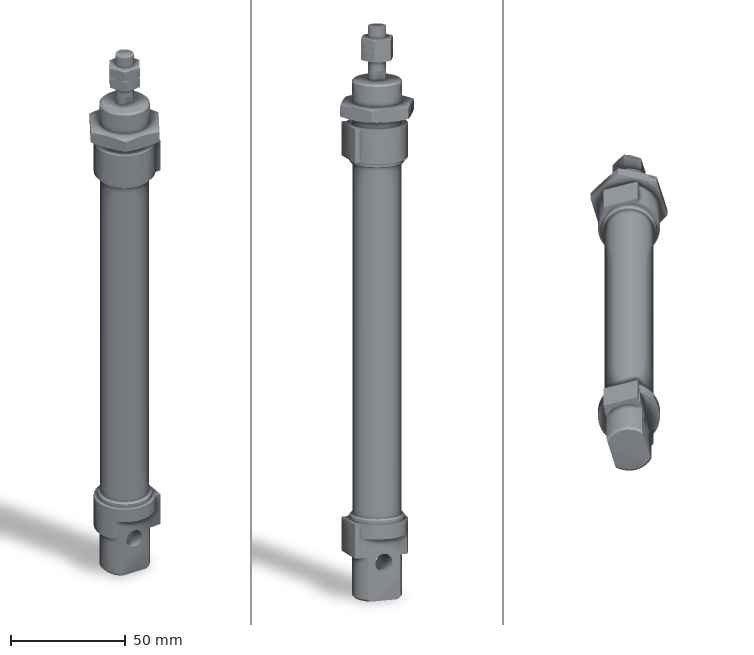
import cadquery as cq
import math


total_length = 257.0
rod_projection = 24.0
head_face_z = total_length - rod_projection

clevis_diameter = 22.0
clevis_width = 16.0
clevis_length = 20.0
clevis_end_diameter = 20.0
clevis_end_chamfer = (clevis_diameter - clevis_end_diameter) / 2
clevis_flat_top_z = 29.0
pin_hole_diameter = 8.0
pin_hole_z = 17.0

cover_diameter = 27.0
cover_length = 15.3
pad_width = 15.5
ring_diameter = 24.0
ring_length = 2.3
ring_edge_chamfer = 0.5
barrel_diameter = 21.4

neck_diameter = 22.0
neck_length = 19.7
neck_face_diameter = 20.38
neck_chamfer = (neck_diameter - neck_face_diameter) / 2

rear_cover_z = clevis_length
rear_ring_z = rear_cover_z + cover_length
front_cover_z = head_face_z - neck_length - cover_length
front_ring_z = front_cover_z - ring_length

rod_diameter = 8.0
rod_flat_width = 6.0
rod_flat_length = 4.2
rod_seat_depth = neck_length + cover_length

neck_nut_width = 30.0
neck_nut_thickness = 6.0
neck_nut_setback = 16.0
neck_nut_z = head_face_z - neck_nut_setback
rod_nut_width = 13.0
rod_nut_thickness = 5.0
rod_nut_count = 2
rod_tip_overhang = 5.0
rod_nuts_top_z = total_length - rod_tip_overhang
nut_chamfer_angle = 15.0
half_facet_angle = 30.0


def cylinder(diameter, bottom_z, length):
    """Round bar on the Z axis."""
    return cq.Workplane("XY").workplane(offset=bottom_z).circle(diameter / 2).extrude(length)


def cover(bottom_z):
    """Round end cover whose +Y side is squared up by a port pad, flush with the round at its crest."""
    pad_reach = cover_diameter / 2
    pad = cq.Workplane("XY").box(pad_width, pad_reach, cover_length, centered=(True, False, False))
    return cylinder(cover_diameter, bottom_z, cover_length).union(pad.translate((0, 0, bottom_z)))


def clevis_side_cuts():
    """Blocks that cut the two clevis flats, up into the rear cover."""
    side_offset = (clevis_width + cover_diameter) / 2
    cutter = cq.Workplane("XY").box(
        cover_diameter, 2 * cover_diameter, clevis_flat_top_z, centered=(True, True, False)
    )
    left = cutter.translate((-side_offset, 0, 0))
    right = cutter.translate((side_offset, 0, 0))
    return left.union(right)


def make_housing():
    """Clevis, rear cover, barrel, front cover and threaded neck in one piece."""
    clevis = cylinder(clevis_diameter, 0, clevis_length).faces("<Z").chamfer(clevis_end_chamfer)
    rear_ring = cylinder(ring_diameter, rear_ring_z, ring_length).faces(">Z").chamfer(ring_edge_chamfer)
    barrel = cylinder(barrel_diameter, rear_ring_z, front_cover_z - rear_ring_z)
    front_ring = cylinder(ring_diameter, front_ring_z, ring_length).faces("<Z").chamfer(ring_edge_chamfer)
    neck = cylinder(neck_diameter, head_face_z - neck_length, neck_length).faces(">Z").chamfer(neck_chamfer)

    body = clevis.union(cover(rear_cover_z)).union(rear_ring).union(barrel)
    body = body.union(front_ring).union(cover(front_cover_z)).union(neck)

    pin_hole = (
        cq.Workplane("YZ").center(0, pin_hole_z).circle(pin_hole_diameter / 2).extrude(cover_diameter, both=True)
    )
    rod_seat = cylinder(rod_diameter, head_face_z - rod_seat_depth, rod_seat_depth)
    return body.cut(clevis_side_cuts()).cut(pin_hole).cut(rod_seat)


def make_piston_rod():
    """Round rod seated in the housing, with wrench flats on the X sides just above the neck."""
    rod = cylinder(rod_diameter, head_face_z - rod_seat_depth, rod_seat_depth + rod_projection)
    flats_ring = cylinder(rod_diameter, head_face_z, rod_flat_length)
    core = cq.Workplane("XY").box(rod_flat_width, rod_diameter, rod_flat_length, centered=(True, True, False))
    return rod.cut(flats_ring.cut(core.translate((0, 0, head_face_z))))


def make_nut(width, thickness, bore_diameter, bottom_z):
    """Hexagon nut with flats on the X sides and corners chamfered at both ends."""
    corner_diameter = width / math.cos(math.radians(half_facet_angle))
    flat_radius = width / 2
    corner_radius = corner_diameter / 2
    chamfer_drop = (corner_radius - flat_radius) * math.tan(math.radians(nut_chamfer_angle))

    hexagon = cq.Workplane("XY").polygon(6, corner_diameter).extrude(thickness)
    hexagon = hexagon.rotate((0, 0, 0), (0, 0, 1), half_facet_angle)
    envelope = (
        cq.Workplane("XZ")
        .moveTo(0, 0)
        .lineTo(flat_radius, 0)
        .lineTo(corner_radius, chamfer_drop)
        .lineTo(corner_radius, thickness - chamfer_drop)
        .lineTo(flat_radius, thickness)
        .lineTo(0, thickness)
        .close()
        .revolve(360, (0, 0, 0), (0, 1, 0))
    )
    nut = hexagon.intersect(envelope).translate((0, 0, bottom_z))
    return nut.cut(cylinder(bore_diameter, bottom_z, thickness))


housing = make_housing()
piston_rod = make_piston_rod()
neck_nut = make_nut(neck_nut_width, neck_nut_thickness, neck_diameter, neck_nut_z)
rod_nuts = [
    make_nut(rod_nut_width, rod_nut_thickness, rod_diameter, rod_nuts_top_z - (i + 1) * rod_nut_thickness)
    for i in range(rod_nut_count)
]

result = cq.Compound.makeCompound(
    [housing.val(), piston_rod.val(), neck_nut.val(), *[nut.val() for nut in rod_nuts]]
)